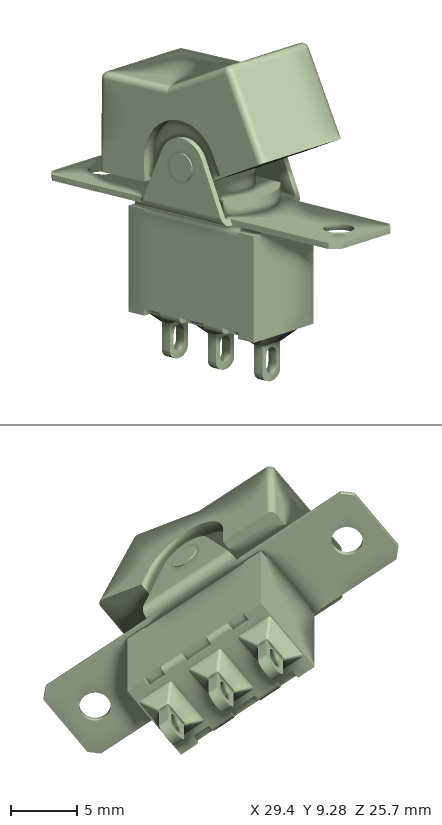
import cadquery as cq
import math


plate_length = 29.35
plate_width = 7.02
plate_thickness = 0.47
plate_corner_chamfer = 0.73
plate_hole_diameter = 2.38
plate_hole_spacing = 23.78
ear_span = 8.98
ear_base_width = 8.49
ear_tip_radius = 2.23
bend_outer_radius = 0.7
bend_inner_radius = bend_outer_radius - plate_thickness

pivot_height = 4.0
pin_diameter = 2.2
pin_protrusion = 0.12

rocker_width = 9.28
rocker_tilt = 12.9
arm_slope = 12.1
arm_length = 6.8
end_draft = 1.5
arm_height = 7.87
crease_height = 6.22
rocker_edge_radius = 0.53
recess_radius = 3.67
recess_depth = 1.05

bushing_diameter = 5.2
bushing_top = 2.8
collar_diameter = 8.8
collar_width = 6.5
collar_top = 1.7
collar_offset = 0.15

body_length = 12.62
body_width = 6.8
body_height = 8.9
shoulder_length = 9.45
shoulder_radius = 0.8
end_step_width = 0.73
end_step_height = 0.5
groove_height = 0.53
groove_depth = 0.73
rib_length = 1.95
rib_spacing = 4.35
rib_radius = 0.45

terminal_pitch = 4.67
terminal_tip = -12.9
blade_thickness = 0.82
blade_width = 2.05
blade_tip_height = 0.55
blade_corner_radius = 0.65
eye_width = 1.17
eye_length = 2.05
eye_center = -11.25
seal_length = 3.05
seal_width = 4.3
seal_height = 1.0
seal_taper = 45
seal_corner_radius = 0.3


def make_plate():
    return (
        cq.Workplane("XY")
        .rect(plate_length, plate_width)
        .extrude(plate_thickness)
        .edges("|Z")
        .chamfer(plate_corner_chamfer)
        .faces(">Z")
        .workplane()
        .pushPoints([(-plate_hole_spacing / 2, 0), (plate_hole_spacing / 2, 0)])
        .hole(plate_hole_diameter)
    )


def make_ears():
    """Both ears: a bent U-shaped strip trimmed to the tapered ear outline."""
    outer = ear_span / 2
    strip_top = pivot_height + ear_tip_radius

    def u_section(half_width, floor, radius):
        """Block up to and beyond the ear tips, rounded along its two bottom edges."""
        return (
            cq.Workplane("YZ")
            .rect(2 * half_width, 2 * (strip_top - floor))
            .extrude(ear_base_width / 2, both=True)
            .edges("|X and <Z")
            .fillet(radius)
            .translate((0, 0, strip_top))
        )

    strip = u_section(outer, 0, bend_outer_radius).cut(
        u_section(outer - plate_thickness, plate_thickness, bend_inner_radius)
    )

    half_base = ear_base_width / 2
    corner_distance = math.hypot(half_base, pivot_height)
    tangent_angle = math.acos(ear_tip_radius / corner_distance) - math.atan2(pivot_height, half_base)
    tangent_x = ear_tip_radius * math.cos(tangent_angle)
    tangent_z = pivot_height + ear_tip_radius * math.sin(tangent_angle)
    outline = (
        cq.Workplane("XZ")
        .moveTo(-half_base, 0)
        .lineTo(half_base, 0)
        .lineTo(tangent_x, tangent_z)
        .threePointArc((0, strip_top), (-tangent_x, tangent_z))
        .close()
        .extrude(outer, both=True)
    )
    return strip.intersect(outline)


def make_rocker():
    """Rocker built level about the pivot, then tilted and lifted into place."""
    slope = math.radians(arm_slope)
    run = arm_length * math.cos(slope)
    rise = arm_length * math.sin(slope)
    draft = math.radians(end_draft)
    end_length = arm_height / math.cos(draft)
    end_x = run + end_length * math.sin(slope + draft)
    end_top = crease_height + rise
    end_bottom = end_top - end_length * math.cos(slope + draft)
    underside_crease = crease_height - arm_height / math.cos(slope)

    rocker = (
        cq.Workplane("XZ")
        .polyline(
            [
                (0, crease_height),
                (run, end_top),
                (end_x, end_bottom),
                (0, underside_crease),
                (-end_x, end_bottom),
                (-run, end_top),
            ]
        )
        .close()
        .extrude(rocker_width / 2, both=True)
    )
    reach = arm_length + arm_height
    above_underside = cq.selectors.BoxSelector(
        (-reach, -reach, end_bottom + rocker_edge_radius), (reach, reach, reach)
    )
    crease = cq.selectors.NearestToPointSelector((0, 0, crease_height))
    rocker = rocker.edges(above_underside - crease).fillet(rocker_edge_radius)

    wall_x = recess_radius * math.cos(slope)
    wall_z = recess_radius * math.sin(slope)
    mouth_z = underside_crease - recess_radius
    mouth_x = wall_x + (wall_z - mouth_z) * math.tan(slope)
    recess = (
        cq.Workplane("XZ")
        .moveTo(-mouth_x, mouth_z)
        .lineTo(mouth_x, mouth_z)
        .lineTo(wall_x, wall_z)
        .threePointArc((0, recess_radius), (-wall_x, wall_z))
        .close()
        .extrude(recess_depth)
    )
    rocker = rocker.cut(recess.translate((0, -rocker_width / 2 + recess_depth, 0)))
    rocker = rocker.cut(recess.translate((0, rocker_width / 2, 0)))
    return rocker.rotate((0, 0, 0), (0, 1, 0), -rocker_tilt).translate((0, 0, pivot_height))


def make_pin():
    return (
        cq.Workplane("XZ", origin=(0, 0, pivot_height))
        .circle(pin_diameter / 2)
        .extrude(ear_span / 2 + pin_protrusion, both=True)
    )


def make_bushing():
    bushing = cq.Workplane("XY").circle(bushing_diameter / 2).extrude(bushing_top)
    collar = (
        cq.Workplane("XY")
        .circle(collar_diameter / 2)
        .extrude(collar_top)
        .intersect(cq.Workplane("XY").box(collar_diameter, collar_width, 2 * collar_top))
    )
    return bushing.union(collar.translate((collar_offset, 0, 0)))


def make_body():
    body = (
        cq.Workplane("XY")
        .rect(shoulder_length, body_width)
        .extrude(-body_height)
        .edges("|X and >Z")
        .fillet(shoulder_radius)
    )
    ends = cq.Workplane("XY", origin=(0, 0, -end_step_height))
    ends = ends.rect(body_length, body_width).extrude(end_step_height - body_height)
    ends = ends.cut(cq.Workplane("XY").box(shoulder_length, body_width, 2 * body_height))
    end_tops = cq.Workplane("XY").rect(body_length, body_width - 2 * end_step_width)
    body = body.union(ends).union(end_tops.extrude(-body_height))

    core_width = body_width - 2 * groove_depth
    base = cq.Workplane("XY", origin=(0, 0, -body_height))
    groove = (
        base.rect(shoulder_length, body_width)
        .extrude(groove_height)
        .cut(base.rect(shoulder_length, core_width).extrude(groove_height))
    )
    body = body.cut(groove)
    rib = (
        base.rect(rib_length, body_width)
        .extrude(groove_height)
        .edges("|X and <Z")
        .fillet(rib_radius)
    )
    for side in (-1, 1):
        body = body.union(rib.translate((side * rib_spacing / 2, 0, 0)))
    return body


def make_terminal():
    """Solder-lug blade with an eye, in a tapered seal below the body."""
    half_width = blade_width / 2
    round_start = terminal_tip + blade_tip_height
    blade = (
        cq.Workplane("YZ")
        .moveTo(-half_width, -body_height)
        .lineTo(-half_width, round_start)
        .threePointArc((0, terminal_tip), (half_width, round_start))
        .lineTo(half_width, -body_height)
        .close()
        .extrude(blade_thickness / 2, both=True)
        .edges("|X")
        .edges("<Z")
        .fillet(blade_corner_radius)
    )
    eye = (
        cq.Workplane("YZ", origin=(0, 0, eye_center))
        .slot2D(eye_length, eye_width, 90)
        .extrude(blade_thickness, both=True)
    )
    seal = (
        cq.Workplane("XY", origin=(0, 0, -body_height))
        .rect(seal_length, seal_width)
        .extrude(-seal_height, taper=seal_taper)
        .edges("not(#Z)")
        .fillet(seal_corner_radius)
    )
    return blade.cut(eye).union(seal)


result = (
    make_plate()
    .union(make_ears())
    .union(make_bushing())
    .union(make_rocker())
    .union(make_pin())
    .union(make_body())
)
terminal = make_terminal()
for position in (-1, 0, 1):
    result = result.union(terminal.translate((position * terminal_pitch, 0, 0)))